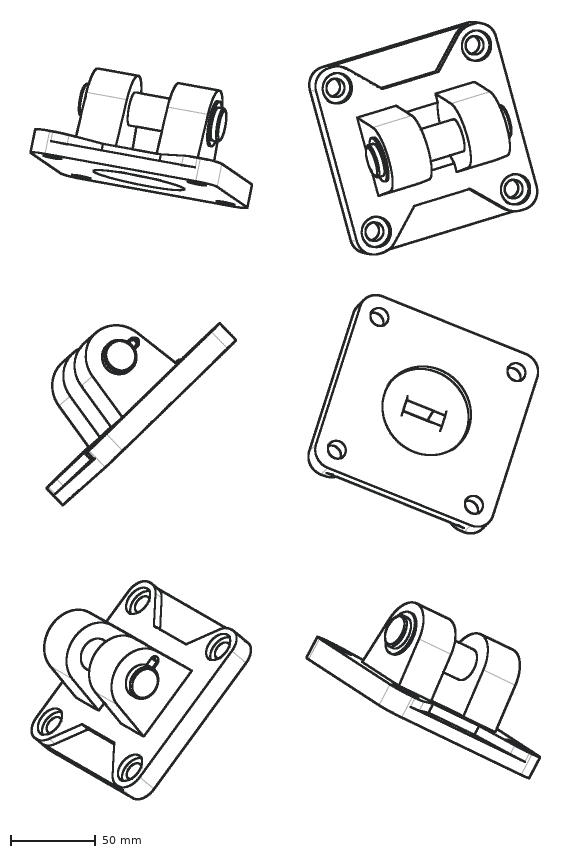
import cadquery as cq
import math


plate_side = 115.0
plate_thickness = 14.0
corner_radius = 11.0
tilt_angle = 46.0

hole_spacing = 89.0
hole_diameter = 11.0
counterbore_diameter = 18.0
counterbore_depth = 4.0

cutout_depth = 6.0
cutout_inner_y = 36.2

pocket_diameter = 55.0
pocket_depth = 5.0

lug_gap = 25.1
lug_width = 25.0
lug_radius = 20.0
lug_base_half = 24.3
pin_height = 27.0
pin_diameter = 20.0
pin_length = 86.0
pin_chamfer = 1.0

hollow_top_half = 18.9
slot_half = 3.6

disc_diameter = 27.0
disc_thickness = 1.3
bar_diameter = 4.0
bar_bore = 2.0
bar_length = 15.2
bar_chamfer = 0.5
bar_projection = 1.3
groove_width = 6.0
groove_length = 17.2
groove_depth = 4.0

hole_offset = hole_spacing / 2
pin_z = plate_thickness + pin_height
lug_outer_x = lug_gap / 2 + lug_width


def x_cylinder(diameter, start_x, length, z):
    """Cylinder along X, centred on Y = 0."""
    return cq.Workplane("YZ", origin=(start_x, 0, z)).circle(diameter / 2).extrude(length)


def edge_cutout():
    """Trapezoidal step at the +Y edge, rounded concentrically with the corner holes."""
    edge_y = plate_side / 2
    arc_radius = edge_y - hole_offset
    diagonal = arc_radius / math.sqrt(2)
    tangent_x = hole_offset - diagonal
    tangent_y = hole_offset + diagonal
    inner_half = tangent_x - (tangent_y - cutout_inner_y)
    mid_angle = math.radians(112.5)
    mid_x = hole_offset + arc_radius * math.cos(mid_angle)
    mid_y = hole_offset + arc_radius * math.sin(mid_angle)
    return (
        cq.Workplane("XY", origin=(0, 0, plate_thickness - cutout_depth))
        .moveTo(-inner_half, cutout_inner_y)
        .lineTo(inner_half, cutout_inner_y)
        .lineTo(tangent_x, tangent_y)
        .threePointArc((mid_x, mid_y), (hole_offset, edge_y))
        .lineTo(-hole_offset, edge_y)
        .threePointArc((-mid_x, mid_y), (-tangent_x, tangent_y))
        .close()
        .extrude(cutout_depth)
    )


def make_plate():
    plate = (
        cq.Workplane("XY")
        .box(plate_side, plate_side, plate_thickness, centered=(True, True, False))
        .edges("|Z")
        .fillet(corner_radius)
    )
    plate = (
        plate.faces(">Z")
        .workplane()
        .rect(hole_spacing, hole_spacing, forConstruction=True)
        .vertices()
        .cboreHole(hole_diameter, counterbore_diameter, counterbore_depth)
    )
    cutout = edge_cutout()
    plate = plate.cut(cutout).cut(cutout.mirror("XZ"))
    return plate.cut(cq.Workplane("XY").circle(pocket_diameter / 2).extrude(pocket_depth))


def hollow():
    """Cylinder crossing the plate top and the pocket floor at the given half widths."""
    depth = plate_thickness - pocket_depth
    centre_height = (hollow_top_half**2 - slot_half**2 - depth**2) / (2 * depth)
    radius = math.hypot(hollow_top_half, centre_height)
    return x_cylinder(2 * radius, -lug_gap / 2, lug_gap, plate_thickness + centre_height)


def lug(start_x):
    """Rounded lug with flanks tangent to its head, standing on the plate."""
    base_distance = math.hypot(lug_base_half, pin_height)
    tangent_angle = math.acos(lug_radius / base_distance) - math.atan2(pin_height, lug_base_half)
    tangent_y = lug_radius * math.cos(tangent_angle)
    tangent_z = pin_z + lug_radius * math.sin(tangent_angle)
    return (
        cq.Workplane("YZ", origin=(start_x, 0, 0))
        .moveTo(-lug_base_half, plate_thickness)
        .lineTo(lug_base_half, plate_thickness)
        .lineTo(tangent_y, tangent_z)
        .threePointArc((0, pin_z + lug_radius), (-tangent_y, tangent_z))
        .close()
        .extrude(lug_width)
    )


def bar_groove():
    """Round-ended groove in the -X lug face, running from the pin axis up the slope."""
    end_y = groove_length - groove_width / 2
    straight = (
        cq.Workplane("YZ", origin=(-lug_outer_x, end_y / 2, pin_z))
        .rect(end_y, groove_width)
        .extrude(groove_depth)
    )
    rounded_end = (
        cq.Workplane("YZ", origin=(-lug_outer_x, end_y, pin_z))
        .circle(groove_width / 2)
        .extrude(groove_depth)
    )
    return straight.union(rounded_end)


def locking_bar():
    """Chamfered bar with an open bore, starting at the pin axis."""
    bar_x = -lug_outer_x - bar_projection + bar_diameter / 2
    return (
        cq.Workplane("XZ", origin=(bar_x, 0, pin_z))
        .circle(bar_diameter / 2)
        .extrude(-bar_length)
        .faces(">Y")
        .chamfer(bar_chamfer)
        .faces(">Y")
        .workplane()
        .hole(bar_bore, bar_length - pin_diameter / 2)
    )


bracket = make_plate().cut(hollow())
for lug_start in (-lug_outer_x, lug_gap / 2):
    bracket = bracket.union(lug(lug_start))
bracket = bracket.cut(bar_groove())

pin = x_cylinder(pin_diameter, -pin_length / 2, pin_length, pin_z)
pin = pin.faces("<X or >X").chamfer(pin_chamfer)
disc = x_cylinder(disc_diameter, lug_outer_x, disc_thickness, pin_z)
bracket = bracket.union(pin).union(disc).union(locking_bar())

result = bracket.mirror("XZ").rotate((0, 0, 0), (1, 0, 0), -tilt_angle)